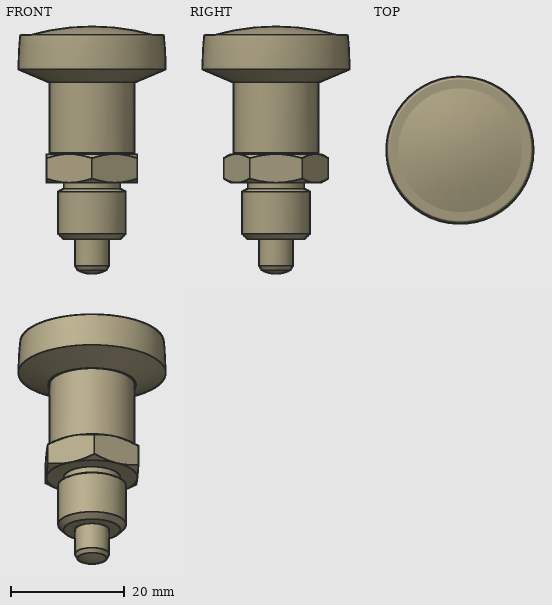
import cadquery as cq
import math

knob_diameter = 26.0
knob_top_diameter = 25.38
dome_diameter = 21.8
knob_base_diameter = 15.5
sleeve_diameter = 15.0
neck_diameter = 10.0
body_diameter = 12.0
pin_diameter = 6.0
pin_tip_diameter = 5.15
hex_across_flats = 16.0

pin_dome_top = 0.7
pin_chamfer_top = 1.5
body_bottom = 6.1
body_shoulder = 14.5
body_top = 15.05
hex_bottom = 16.1
hex_top = 21.1
knob_bottom = 33.8
rim_bottom = 36.0
rim_top = 36.62
knob_shoulder = 42.07
total_height = 43.6

body_chamfer = 1.0
sleeve_chamfer = 0.2
knob_edge_radius = 0.25
side_bulge = 0.065
hex_chamfer_angle = 30.0


def revolve_profile(profile):
    """Revolve a closed radius-height profile about the Z axis."""
    return profile.close().revolve(360, (0, 0, 0), (0, 1, 0))


def make_plunger():
    """Domed pin, chamfered body and undercut neck, up to the hexagon."""
    pin_radius = pin_diameter / 2
    tip_radius = pin_tip_diameter / 2
    body_radius = body_diameter / 2
    neck_radius = neck_diameter / 2
    dome_radius = (tip_radius**2 + pin_dome_top**2) / (2 * pin_dome_top)
    mid_radius = tip_radius / 2
    mid_height = dome_radius - math.sqrt(dome_radius**2 - mid_radius**2)
    profile = (
        cq.Workplane("XZ")
        .moveTo(0, 0)
        .threePointArc((mid_radius, mid_height), (tip_radius, pin_dome_top))
        .lineTo(pin_radius, pin_chamfer_top)
        .lineTo(pin_radius, body_bottom)
        .lineTo(body_radius - body_chamfer, body_bottom)
        .lineTo(body_radius, body_bottom + body_chamfer)
        .lineTo(body_radius, body_shoulder)
        .lineTo(neck_radius, body_top)
        .lineTo(neck_radius, hex_bottom)
        .lineTo(0, hex_bottom)
    )
    return revolve_profile(profile)


def make_hexagon():
    """Hexagon with corners on Y, both ends turned down to the flats."""
    height = hex_top - hex_bottom
    flat_radius = hex_across_flats / 2
    corner_radius = flat_radius / math.cos(math.radians(30))
    prism = (
        cq.Workplane("XY")
        .workplane(offset=hex_bottom)
        .polygon(6, 2 * corner_radius)
        .extrude(height)
        .rotate((0, 0, 0), (0, 0, 1), 30)
    )
    slope = math.tan(math.radians(hex_chamfer_angle))
    outer_radius = flat_radius + height / 2 / slope
    turned_ends = revolve_profile(
        cq.Workplane("XZ")
        .moveTo(0, hex_bottom)
        .lineTo(flat_radius, hex_bottom)
        .lineTo(outer_radius, hex_bottom + height / 2)
        .lineTo(flat_radius, hex_top)
        .lineTo(0, hex_top)
    )
    return prism.intersect(turned_ends)


def make_knob():
    """Sleeve and domed knob with a conical underside and bulged rim."""
    sleeve_radius = sleeve_diameter / 2
    rim_radius = knob_diameter / 2
    top_radius = knob_top_diameter / 2
    side_top = knob_shoulder - knob_edge_radius
    side_middle = ((rim_radius + top_radius) / 2 + side_bulge, (rim_top + side_top) / 2)
    edge_center_radius = top_radius - knob_edge_radius
    edge_offset = knob_edge_radius * math.sqrt(0.5)
    edge_middle = (edge_center_radius + edge_offset, side_top + edge_offset)
    dome_edge_radius = dome_diameter / 2
    rise = total_height - knob_shoulder
    dome_radius = (dome_edge_radius**2 + rise**2) / (2 * rise)
    mid_radius = dome_edge_radius / 2
    mid_height = total_height - dome_radius + math.sqrt(dome_radius**2 - mid_radius**2)
    profile = (
        cq.Workplane("XZ")
        .moveTo(0, hex_top)
        .lineTo(sleeve_radius - sleeve_chamfer, hex_top)
        .lineTo(sleeve_radius, hex_top + sleeve_chamfer)
        .lineTo(sleeve_radius, knob_bottom)
        .lineTo(knob_base_diameter / 2, knob_bottom)
        .lineTo(rim_radius, rim_bottom)
        .lineTo(rim_radius, rim_top)
        .threePointArc(side_middle, (top_radius, side_top))
        .threePointArc(edge_middle, (edge_center_radius, knob_shoulder))
        .lineTo(dome_edge_radius, knob_shoulder)
        .threePointArc((mid_radius, mid_height), (0, total_height))
    )
    return revolve_profile(profile)


result = make_plunger().union(make_hexagon()).union(make_knob())